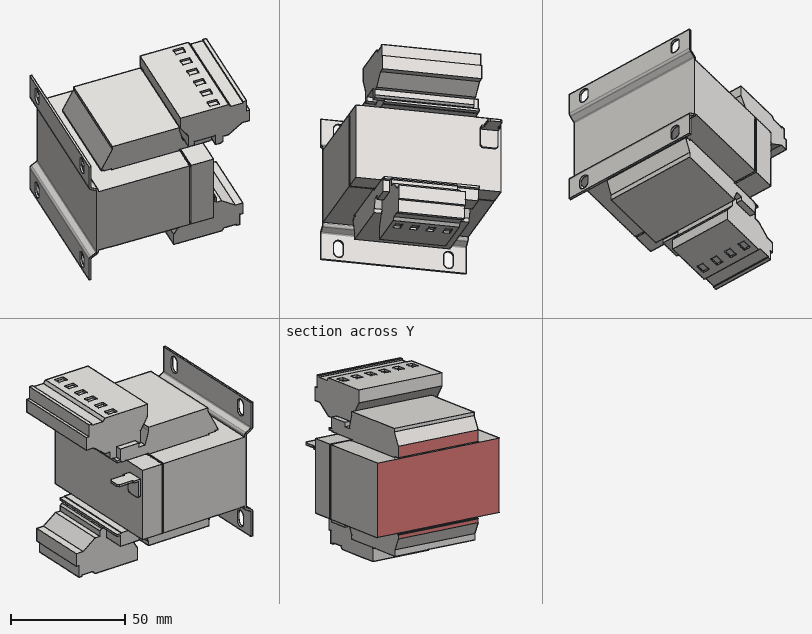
import cadquery as cq
import math


WIDTH = 66.0
CORE_HALF_HEIGHT = 17.1
CORE_BACK = 59.4
GAP_FRONT = 48.0
GAP_WIDTH = 0.7
GAP_DEPTH_SIDES = 0.35
GAP_DEPTH_ENDS = 1.0

SHEET = 1.0
BRACKET_HALF_HEIGHT = 33.0
BRACKET_STEP = 3.5
BEND_CORNER_Z = 20.05
BEND_SLOPE = 30.0
INNER_BEND_RADIUS = 0.5
OUTER_BEND_RADIUS = INNER_BEND_RADIUS + SHEET
CORE_FRONT = BRACKET_STEP + SHEET
SLOT_SPACING_X = 50.0
SLOT_SPACING_Z = 54.8
SLOT_WIDTH = 4.5
SLOT_LENGTH = 8.0

BOBBIN_WIDTH = 43.2
BOBBIN_CLEARANCE = 0.3
WINDOW_FRONT = 15.6
BOBBIN_BASE_Z = 17.4
TOP_COVER_Z = 30.2
BOTTOM_COVER_Z = 28.2
LIP_LENGTH = 1.2
LIP_BOTTOM_Z = 17.8
LIP_TOP_Z = 18.4

LEDGE_END = 65.0
LEDGE_STEP = 62.6
LEDGE_BOTTOM_Z = 17.7
LEDGE_Z = 18.7
CATCH_BACK = 63.2
CATCH_FRONT = 53.15
CATCH_Z = 24.0
SEAT_FRONT = 49.9
SEAT_Z = 22.0

PITCH = 7.5
BLOCK_BACK = 79.55
BLOCK_FRONT = 46.5
BLOCK_TOP = 39.95
RECESS_SLOPE_FRONT = 69.45
RECESS_FRONT = 70.6
RECESS_Z = 38.55
RIM_FRONT = 76.4
RIM_BACK = 78.1
RIM_Z = 39.2
NOSE_TOP = 33.35
NOSE_BOTTOM = 27.1
NOSE_FRONT = 75.9
SHELF_BACK = 69.4
SHELF_Z = 22.3
LEG_BACK = 66.9
LEG_CHAMFER = 0.95
FRONT_LEG_Y = 50.35
FRONT_SLOPE_BOTTOM = 28.0
FRONT_SLOPE_TOP = 34.0
TOP_BLOCK_LEFT = -2.5 * PITCH
TOP_BLOCK_POLES = 6
BOTTOM_BLOCK_LEFT = -1.5 * PITCH
BOTTOM_BLOCK_POLES = 4
OPENING_X = 3.2
OPENING_Y = 4.6
OPENING_CENTRE_Y = 63.7
OPENING_DEPTH = 1.0

TAB_X = -27.4
TAB_THICKNESS = 1.0
TAB_TOP = 12.2
TAB_BOTTOM = 2.9
TAB_TIP = 70.9
TAB_SHOULDER = 63.0
BLADE_WIDTH = 6.3
TAB_BASE_WIDTH = 8.0
TAB_CHAMFER = 0.9


def box(x_min, x_max, y_min, y_max, z_min, z_max):
    """Box between the given limits."""
    size = (x_max - x_min, y_max - y_min, z_max - z_min)
    return cq.Workplane("XY").box(*size, centered=False).translate((x_min, y_min, z_min))


def extrude_along_x(points, x_min, x_max):
    """Closed (Y, Z) outline extruded between two X positions."""
    return cq.Workplane("YZ").workplane(offset=x_min).polyline(points).close().extrude(x_max - x_min)


def mirror_down(body):
    """Copy of a body reflected below the horizontal mid plane."""
    return body.mirror("XY")


def make_core():
    """Core block with an air gap groove around it and a window for the bobbin."""
    half = WIDTH / 2
    core = box(-half, half, CORE_FRONT, CORE_BACK, -CORE_HALF_HEIGHT, CORE_HALF_HEIGHT)
    gap_back = GAP_FRONT + GAP_WIDTH
    ring = box(-half, half, GAP_FRONT, gap_back, -CORE_HALF_HEIGHT, CORE_HALF_HEIGHT)
    neck_half = half - GAP_DEPTH_SIDES
    neck_z = CORE_HALF_HEIGHT - GAP_DEPTH_ENDS
    ring = ring.cut(box(-neck_half, neck_half, GAP_FRONT, gap_back, -neck_z, neck_z))
    window_half = BOBBIN_WIDTH / 2 + BOBBIN_CLEARANCE
    window = box(-window_half, window_half, WINDOW_FRONT, GAP_FRONT, -CORE_HALF_HEIGHT, CORE_HALF_HEIGHT)
    return core.cut(ring).cut(window)


def make_bracket():
    """Bent sheet: a raised centre panel with a slotted flange above and below."""
    slope = math.radians(BEND_SLOPE)
    front_inner_z = BEND_CORNER_Z - BRACKET_STEP * math.tan(slope)
    corner_shift = SHEET * (1 / math.cos(slope) - math.tan(slope))
    upper_front = [(BRACKET_STEP, front_inner_z), (0, BEND_CORNER_Z), (0, BRACKET_HALF_HEIGHT)]
    upper_back = [
        (SHEET, BRACKET_HALF_HEIGHT),
        (SHEET, BEND_CORNER_Z + corner_shift),
        (CORE_FRONT, front_inner_z + corner_shift),
    ]
    upper = upper_front + upper_back
    lower = [(y, -z) for y, z in reversed(upper)]
    half = WIDTH / 2
    bracket = extrude_along_x(upper + lower, -half, half)

    def bend_edge(y, z):
        return bracket.edges(cq.selectors.NearestToPointSelector((0, y, z)))

    bends = (
        (upper_front[0], INNER_BEND_RADIUS),
        (upper_front[1], OUTER_BEND_RADIUS),
        (upper_back[1], INNER_BEND_RADIUS),
        (upper_back[2], OUTER_BEND_RADIUS),
    )
    for side in (1, -1):
        for (y, z), radius in bends:
            bracket = bend_edge(y, side * z).fillet(radius)

    slots = (
        cq.Workplane("XZ")
        .rarray(SLOT_SPACING_X, SLOT_SPACING_Z, 2, 2)
        .slot2D(SLOT_LENGTH, SLOT_WIDTH, angle=90)
        .extrude(-SHEET)
    )
    return bracket.cut(slots)


def make_cover(height, front, front_knee_z, lip_front, back_knee_z):
    """Bobbin end above the core: sloped front with a lip, level top, catch and ledge behind."""
    lip_back = lip_front + LIP_LENGTH
    front_outline = [
        (lip_back, BOBBIN_BASE_Z),
        (lip_back, LIP_BOTTOM_Z),
        (lip_front, LIP_BOTTOM_Z),
        (lip_front, LIP_TOP_Z),
        (front, front_knee_z),
        (front, height),
    ]
    back_outline = [
        (GAP_FRONT, height),
        (GAP_FRONT, back_knee_z),
        (SEAT_FRONT, SEAT_Z),
        (CATCH_FRONT, SEAT_Z),
        (CATCH_FRONT, CATCH_Z),
        (CATCH_BACK, CATCH_Z),
        (CATCH_BACK, LEDGE_Z),
        (LEDGE_END, LEDGE_Z),
        (LEDGE_END, LEDGE_BOTTOM_Z),
        (LEDGE_STEP, LEDGE_BOTTOM_Z),
        (LEDGE_STEP, BOBBIN_BASE_Z),
    ]
    return extrude_along_x(front_outline + back_outline, -BOBBIN_WIDTH / 2, BOBBIN_WIDTH / 2)


def make_bobbin():
    """Bobbin column filling the core window, with a cover at each end."""
    half = BOBBIN_WIDTH / 2
    column = box(-half, half, WINDOW_FRONT, GAP_FRONT, -BOBBIN_BASE_Z, BOBBIN_BASE_Z)
    top = make_cover(TOP_COVER_Z, front=16.0, front_knee_z=28.6, lip_front=10.7, back_knee_z=28.4)
    bottom = make_cover(BOTTOM_COVER_Z, front=15.4, front_knee_z=25.2, lip_front=12.4, back_knee_z=26.3)
    return column.union(top).union(mirror_down(bottom))


def make_terminal_block(left, poles):
    """Row of terminals standing on the bobbin catch, with one opening per pole."""
    top_outline = [
        (BLOCK_FRONT, BLOCK_TOP),
        (RECESS_SLOPE_FRONT, BLOCK_TOP),
        (RECESS_FRONT, RECESS_Z),
        (RIM_FRONT, RECESS_Z),
        (RIM_FRONT, RIM_Z),
        (RIM_BACK, RIM_Z),
    ]
    back_outline = [
        (RIM_BACK, NOSE_TOP),
        (BLOCK_BACK, NOSE_TOP),
        (BLOCK_BACK, NOSE_BOTTOM),
        (NOSE_FRONT, NOSE_BOTTOM),
        (SHELF_BACK, SHELF_Z),
        (LEG_BACK, SHELF_Z),
        (LEG_BACK, LEDGE_Z + LEG_CHAMFER),
        (LEG_BACK - LEG_CHAMFER, LEDGE_Z),
    ]
    catch_outline = [
        (CATCH_BACK, LEDGE_Z),
        (CATCH_BACK, CATCH_Z),
        (CATCH_FRONT, CATCH_Z),
        (CATCH_FRONT, SEAT_Z),
    ]
    front_outline = [
        (FRONT_LEG_Y, SEAT_Z),
        (FRONT_LEG_Y, FRONT_SLOPE_BOTTOM),
        (BLOCK_FRONT, FRONT_SLOPE_TOP),
    ]
    outline = top_outline + back_outline + catch_outline + front_outline
    block = extrude_along_x(outline, left, left + poles * PITCH)
    openings = (
        cq.Workplane("XY", origin=(left + poles * PITCH / 2, OPENING_CENTRE_Y, BLOCK_TOP))
        .rarray(PITCH, PITCH, poles, 1)
        .rect(OPENING_X, OPENING_Y)
        .extrude(-OPENING_DEPTH)
    )
    return block.cut(openings)


def make_earth_tab():
    """Angled blade: a foot against the core back and a flat tongue pointing backwards."""
    base_half = TAB_BASE_WIDTH / 2
    blade_half = BLADE_WIDTH / 2
    foot_back = CORE_BACK + TAB_THICKNESS
    tongue_bottom = TAB_TOP - TAB_THICKNESS
    foot = box(-base_half, base_half, CORE_BACK, foot_back, TAB_BOTTOM, TAB_TOP)
    foot = foot.faces("<Z").edges("|Y").chamfer(TAB_CHAMFER)
    base = box(-base_half, base_half, CORE_BACK, TAB_SHOULDER, tongue_bottom, TAB_TOP)
    blade = box(-blade_half, blade_half, CORE_BACK, TAB_TIP, tongue_bottom, TAB_TOP)
    blade = blade.faces(">Y").edges("|Z").chamfer(TAB_CHAMFER)
    return foot.union(base).union(blade).translate((TAB_X, 0, 0))


top_block = make_terminal_block(TOP_BLOCK_LEFT, TOP_BLOCK_POLES)
bottom_block = mirror_down(make_terminal_block(BOTTOM_BLOCK_LEFT, BOTTOM_BLOCK_POLES))

result = (
    make_core()
    .union(make_bracket())
    .union(make_bobbin())
    .union(top_block)
    .union(bottom_block)
    .union(make_earth_tab())
)